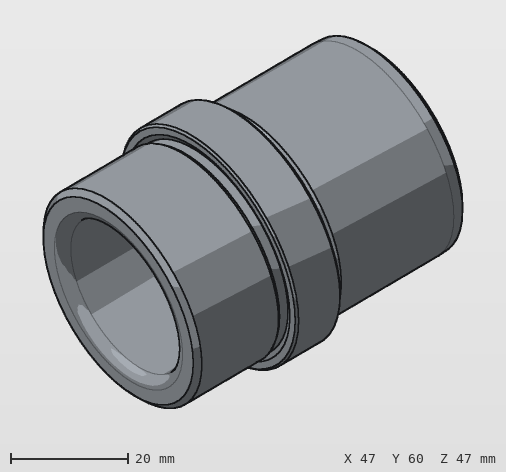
import cadquery as cq

rear_length = 30.0
front_length = 20.0
total_length = 60.0
collar_width = total_length - rear_length - front_length

body_radius = 21.0
collar_radius = 47.0 / 2
bore_radius = 15.0
mouth_radius = 2.0

end_chamfer_length = 0.95
end_chamfer_depth = 1.15
collar_chamfer = 0.4

groove_radius = 20.6
groove_length = 2.0
groove_slope_length = 0.6

undercut_radius = 21.65
undercut_depth = 0.5

lead_in_length = 3.05
lead_in_depth = 0.1

front_end = -collar_width - front_length
rear_end = rear_length


def flank_points(face, direction, end, end_radius):
    """Outer profile from a collar rim, over its groove, to the end of the body."""
    groove_end = face + direction * groove_length
    return [
        (collar_radius, face - direction * collar_chamfer),
        (collar_radius - collar_chamfer, face),
        (undercut_radius, face),
        (groove_radius, face - direction * undercut_depth),
        (groove_radius, groove_end - direction * groove_slope_length),
        (body_radius, groove_end),
        (end_radius, end - direction * end_chamfer_length),
        (end_radius - end_chamfer_depth, end),
    ]


front_flank = flank_points(-collar_width, -1, front_end, body_radius)
rear_flank = flank_points(0, 1, rear_end, body_radius - lead_in_depth)
rear_flank.insert(-2, (body_radius, rear_end - lead_in_length))

outline = front_flank[::-1] + rear_flank
blank = cq.Workplane("XY").polyline(outline + [(0, rear_end), (0, front_end)]).close()
blank = blank.revolve(360, (0, 0, 0), (0, 1, 0))

bore = cq.Workplane("XZ", origin=(0, rear_end, 0)).circle(bore_radius).extrude(total_length)
bush = blank.cut(bore)

for end_face in ("<Y", ">Y"):
    bush = bush.faces(end_face).edges(cq.selectors.RadiusNthSelector(0)).fillet(mouth_radius)

result = bush